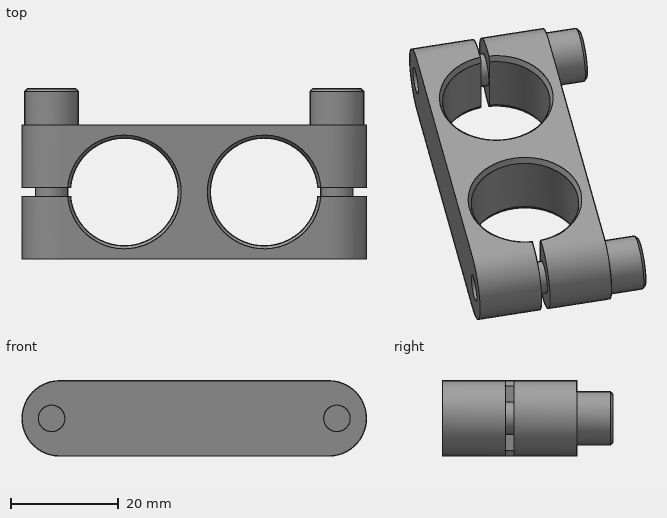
import cadquery as cq

body_length = 64.0
body_depth = 24.95
body_height = 14.0

bore_diameter = 20.0
bore_spacing = 26.0
bore_chamfer_radial = 0.6
bore_chamfer_depth = 1.0

slot_width = 1.6

hole_diameter = 4.9
hole_depth = 6.4

screw_spacing = 53.0
shank_diameter = 6.0
head_diameter = 10.0
head_length = 6.7
head_chamfer = 0.5

back_face = body_depth / 2
front_face = -body_depth / 2


def y_cylinder(x, y_start, length, diameter):
    """Cylinder along Y, from y_start toward the back."""
    return cq.Workplane(
        cq.Solid.makeCylinder(
            diameter / 2, length, cq.Vector(x, y_start, 0), cq.Vector(0, 1, 0)
        )
    )


def make_body():
    return (
        cq.Workplane("XZ")
        .slot2D(body_length, body_height)
        .extrude(body_depth / 2, both=True)
    )


def bore_cutter(x):
    """Full-height bore whose mouths flare out, as a revolved profile."""
    radius = bore_diameter / 2
    mouth_radius = radius + bore_chamfer_radial
    top = body_height / 2
    straight_top = top - bore_chamfer_depth
    return (
        cq.Workplane("YZ")
        .moveTo(0, -top)
        .lineTo(mouth_radius, -top)
        .lineTo(radius, -straight_top)
        .lineTo(radius, straight_top)
        .lineTo(mouth_radius, top)
        .lineTo(0, top)
        .close()
        .revolve(360, (0, 0, 0), (0, 1, 0))
        .translate((x, 0, 0))
    )


def slot_cutter(side):
    """Cut reaching from one end of the body to the bore centre."""
    bore_x = bore_spacing / 2
    length = body_length / 2 - bore_x
    return cq.Workplane("XY").box(length, slot_width, body_height).translate(
        (side * (bore_x + length / 2), 0, 0)
    )


def screw_head(x):
    head = y_cylinder(x, back_face, head_length, head_diameter)
    return head.faces(">Y").chamfer(head_chamfer)


result = make_body()
for side in (-1, 1):
    screw_x = side * screw_spacing / 2
    result = result.cut(slot_cutter(side))
    result = result.cut(bore_cutter(side * bore_spacing / 2))
    result = result.union(y_cylinder(screw_x, -slot_width, 2 * slot_width, shank_diameter))
    result = result.union(screw_head(screw_x))
    result = result.cut(y_cylinder(screw_x, front_face, hole_depth, hole_diameter))